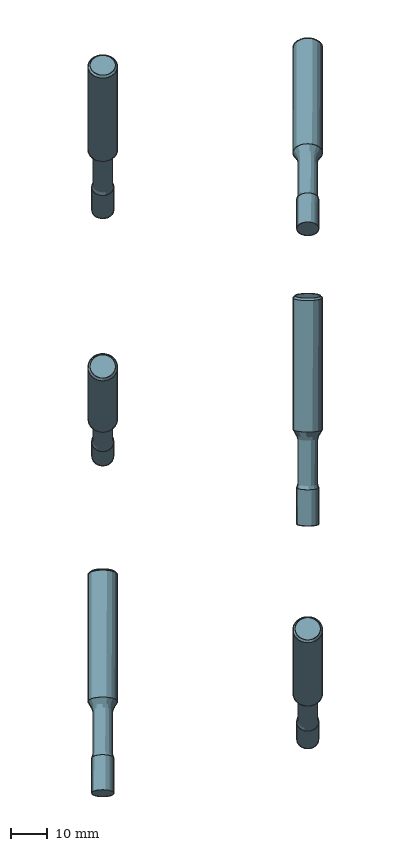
import cadquery as cq

total_length = 63.0
shank_radius = 4.0
shank_chamfer = 0.55

head_radius = 2.99
head_length = 10.0

neck_radius = 2.7
relief_taper_length = 0.95
neck_top = 23.5
shank_bottom = 26.15

bottom_z = -total_length / 2
top_z = bottom_z + total_length
head_top_z = bottom_z + head_length
neck_top_z = bottom_z + neck_top
cone_bottom_z = neck_top_z + relief_taper_length


def make_shank():
    """Shank, transition cone and relieved neck as one turned body."""
    profile = [
        (0, head_top_z),
        (head_radius, head_top_z),
        (neck_radius, head_top_z + relief_taper_length),
        (neck_radius, neck_top_z),
        (head_radius, cone_bottom_z),
        (shank_radius, bottom_z + shank_bottom),
        (shank_radius, top_z - shank_chamfer),
        (shank_radius - shank_chamfer, top_z),
        (0, top_z),
    ]
    return cq.Workplane("XZ").polyline(profile).close().revolve(360, (0, 0), (0, 1))


def make_cutting_head():
    """Cylinder below the neck."""
    return cq.Workplane("XY", origin=(0, 0, bottom_z)).circle(head_radius).extrude(head_length)


shank = make_shank()
cutting_head = make_cutting_head()

result = cq.Compound.makeCompound([shank.val(), cutting_head.val()])